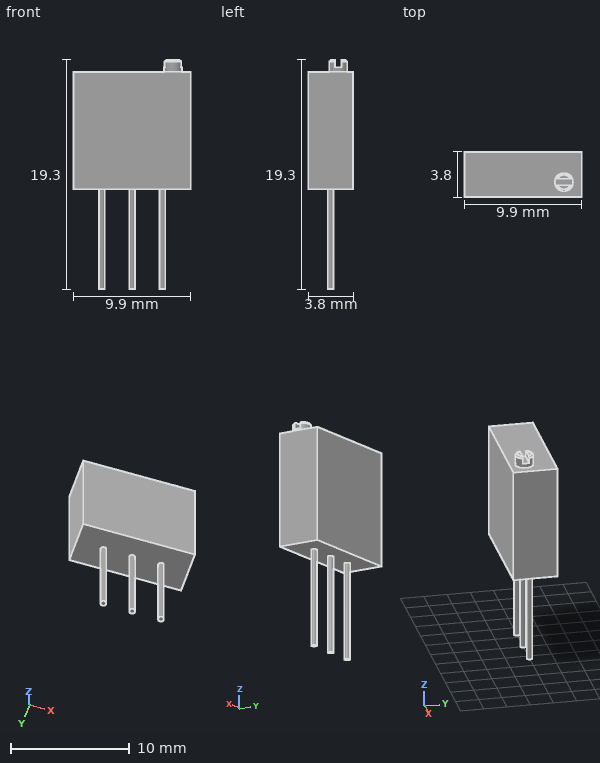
import cadquery as cq

total_height = 19.31
housing_side = 9.9
housing_depth = 3.8

screw_diameter = 1.53
screw_height = 1.0
screw_x = 3.44
screw_y = -0.64
screw_chamfer = 0.15
slot_width = 0.55
slot_depth = 0.6

pin_count = 3
pin_diameter = 0.5
pin_pitch = 2.55
pin_length = total_height - housing_side - screw_height


def make_housing():
    """Plain square block that stands on Z = 0."""
    return cq.Workplane("XY").box(housing_side, housing_depth, housing_side, centered=(True, True, False))


def make_screw():
    """Round screw head with a chamfered rim and a driver slot along X."""
    head = cq.Workplane("XY").circle(screw_diameter / 2).extrude(screw_height)
    head = head.faces(">Z").chamfer(screw_chamfer)
    slot = (
        cq.Workplane("XY")
        .workplane(offset=screw_height - slot_depth)
        .rect(screw_diameter, slot_width)
        .extrude(slot_depth)
    )
    return head.cut(slot).translate((screw_x, screw_y, housing_side))


def make_pin(x):
    """Round lead that hangs from the housing underside."""
    return cq.Workplane("XY").center(x, 0).circle(pin_diameter / 2).extrude(-pin_length)


housing = make_housing()
screw = make_screw()

pins = []
for index in range(pin_count):
    pin_x = (index - (pin_count - 1) / 2) * pin_pitch
    pins.append(make_pin(pin_x))

result = cq.Compound.makeCompound([housing.val(), screw.val(), *[pin.val() for pin in pins]])